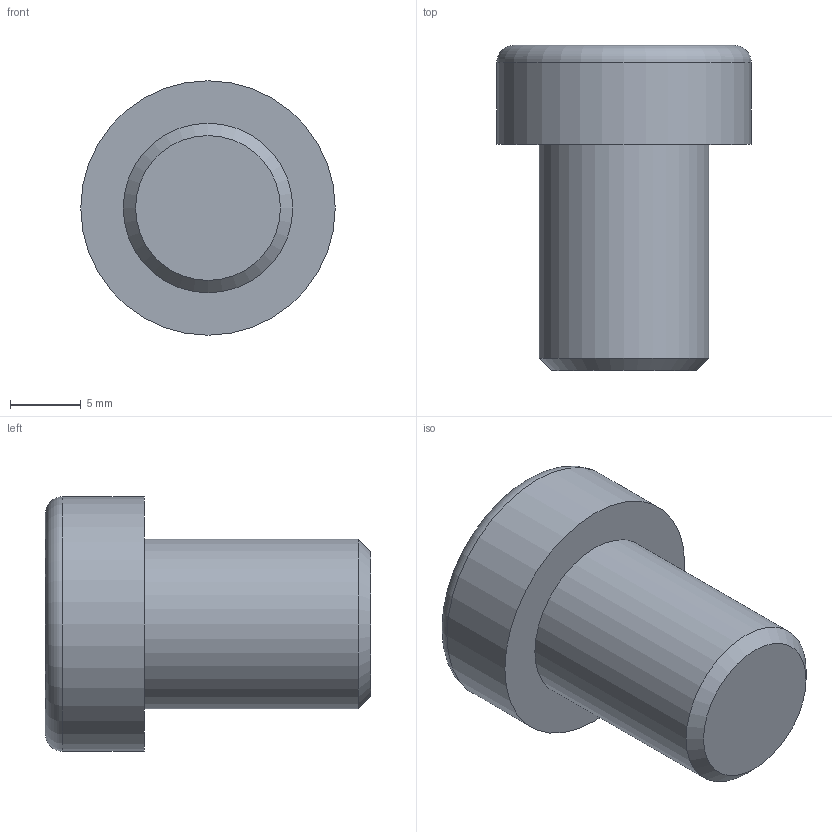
import cadquery as cq

head_diameter = 18.0
head_length = 7.0
head_edge_radius = 1.2
shank_diameter = 12.0
shank_length = 16.0
tip_chamfer = 0.875


def make_head():
    """Round head from Y = 0 toward +Y, with its outer end edge rounded."""
    head = cq.Workplane("XZ").circle(head_diameter / 2).extrude(-head_length)
    return head.faces(">Y").edges().fillet(head_edge_radius)


def make_shank():
    """Plain shank from Y = 0 toward -Y, with a chamfered tip."""
    shank = cq.Workplane("XZ").circle(shank_diameter / 2).extrude(shank_length)
    return shank.faces("<Y").edges().chamfer(tip_chamfer)


result = make_head().union(make_shank())